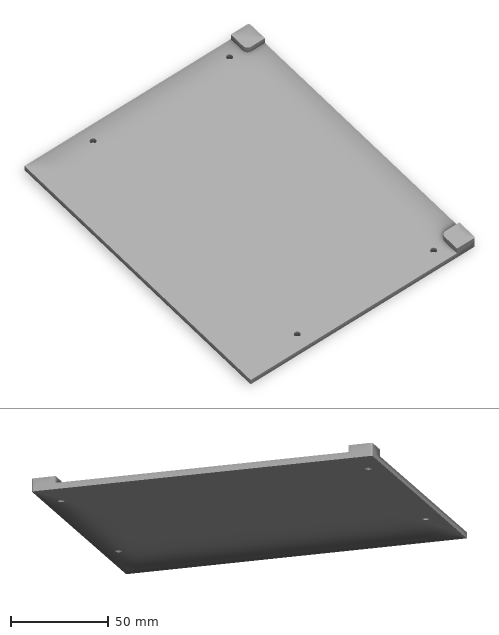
import cadquery as cq

plate_width = 185.0
plate_depth = 148.0
plate_thickness = 3.3
back_corner_radius = 1.0

pad_width = 13.0
pad_depth = 12.0
pad_height = 3.7
pad_inner_radius = 3.0

hole_diameter = 3.5
hole_side_inset = 9.0
hole_front_inset = 38.0
hole_row_spacing = 90.0

half_width = plate_width / 2
half_depth = plate_depth / 2


def make_plate():
    plate = cq.Workplane("XY").box(plate_width, plate_depth, plate_thickness, centered=(True, True, False))
    return plate.edges("|Z and >Y").fillet(back_corner_radius)


def make_pad(side):
    """Pad flush with the back corner; side is -1 for the left and 1 for the right."""
    center_x = side * (half_width - pad_width / 2)
    center_y = half_depth - pad_depth / 2
    inner_face = "<X" if side > 0 else ">X"
    outer_face = ">X" if side > 0 else "<X"
    pad = (
        cq.Workplane("XY")
        .box(pad_width, pad_depth, plate_thickness + pad_height, centered=(True, True, False))
        .translate((center_x, center_y, 0))
    )
    pad = pad.faces(inner_face).edges("|Z and <Y").fillet(pad_inner_radius)
    return pad.faces(outer_face).edges("|Z and >Y").fillet(back_corner_radius)


hole_x = half_width - hole_side_inset
front_hole_y = hole_front_inset - half_depth
hole_points = [
    (x, y)
    for x in (-hole_x, hole_x)
    for y in (front_hole_y, front_hole_y + hole_row_spacing)
]

result = make_plate()
for side in (-1, 1):
    result = result.union(make_pad(side))

holes = (
    cq.Workplane("XY")
    .pushPoints(hole_points)
    .circle(hole_diameter / 2)
    .extrude(plate_thickness)
)
result = result.cut(holes)